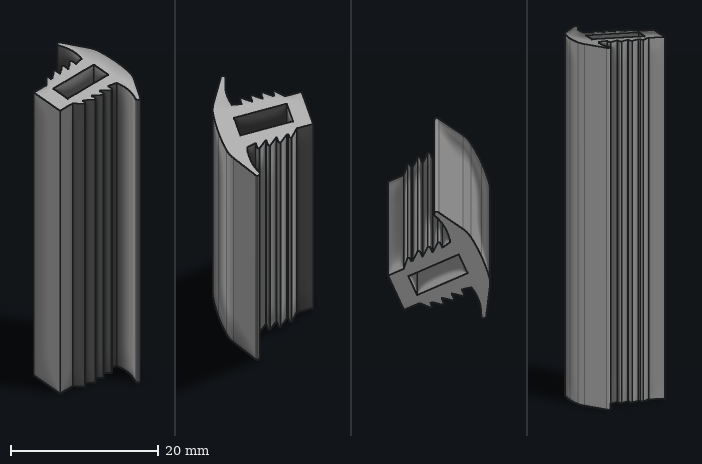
import cadquery as cq

length = 50.0
width = 16.35
depth = 12.7

crown_half_width = 3.85
crown_edge_y = 12.35
crown_rise_share = 0.75
crown_blend_radius = 4.0
lip_top_half_width = 7.95
lip_top_y = 9.9
lip_middle_y = 9.55
lip_bottom_half_width = 7.7
lip_bottom_y = 9.25
underside_peak_half_width = 5.3
underside_peak_y = 9.85
neck_half_width = 3.5
neck_y = 9.65

root_half_width = 3.2
barb_half_width = 4.15
last_barb_half_width = 3.85
barb_tip_radius = 0.25
barb_slope_height = 1.15
barb_tops = [8.35, 6.85, 5.35]
last_barb_top = 3.7

foot_half_width = 2.65
foot_height = 2.35
core_width = 2.9
core_bottom = 2.5
core_top = 10.0


def half_profile():
    """Right half of the section, closed along the symmetry axis."""
    crown_middle_y = crown_edge_y + crown_rise_share * (depth - crown_edge_y)
    outline = (
        cq.Workplane("XY")
        .moveTo(0, depth)
        .threePointArc((crown_half_width / 2, crown_middle_y), (crown_half_width, crown_edge_y))
        .lineTo(lip_top_half_width, lip_top_y)
        .threePointArc((width / 2, lip_middle_y), (lip_bottom_half_width, lip_bottom_y))
        .threePointArc((underside_peak_half_width, underside_peak_y), (neck_half_width, neck_y))
    )
    for top in barb_tops:
        tip_bottom = top - barb_tip_radius
        outline = (
            outline.lineTo(root_half_width, top)
            .lineTo(barb_half_width - barb_tip_radius, top)
            .radiusArc((barb_half_width, tip_bottom), barb_tip_radius)
            .lineTo(root_half_width, tip_bottom - barb_slope_height)
        )
    return (
        outline.lineTo(root_half_width, last_barb_top)
        .lineTo(last_barb_half_width - barb_tip_radius, last_barb_top)
        .radiusArc((last_barb_half_width, last_barb_top - barb_tip_radius), barb_tip_radius)
        .lineTo(foot_half_width, foot_height)
        .lineTo(foot_half_width, 0)
        .lineTo(0, 0)
        .close()
    )


def strip_half():
    """Extruded half with the corner between crown and sloping flank rounded."""
    body = half_profile().extrude(length)
    crown_corner = cq.selectors.NearestToPointSelector((crown_half_width, crown_edge_y, length / 2))
    return body.edges("|Z").edges(crown_corner).fillet(crown_blend_radius)


def core():
    """Rectangular passage through the full length."""
    core_depth = core_top - core_bottom
    return (
        cq.Workplane("XY")
        .center(0, core_bottom + core_depth / 2)
        .rect(core_width, core_depth)
        .extrude(length)
    )


right_half = strip_half()
left_half = right_half.mirror("YZ")
result = right_half.union(left_half).cut(core())